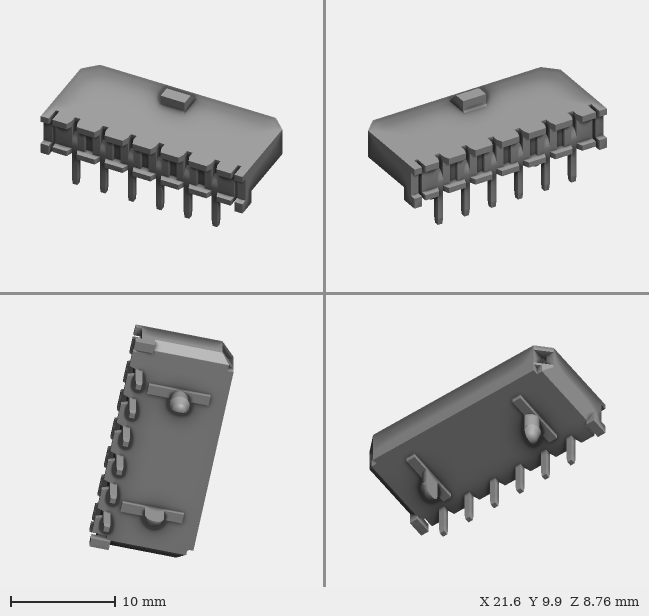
import cadquery as cq
import math


length = 21.65
depth = 9.9
housing_bottom = 0.52
housing_top = 4.37
rear_corner = 1.39

lip_depth = 0.65
lower_lip_top = 1.1
upper_lip_bottom = 3.7

foot_width = 0.87
foot_depth = 1.88
slot_width = 0.4
slot_depth = 1.5
channel_bottom = 2.73

bevel_size = 0.8
bevel_top = 1.43
rear_step = 0.58
corner_pocket_bottom = 1.75

pin_count = 6
pin_span = 15.0
pin_pitch = pin_span / (pin_count - 1)
pin_width = 0.6
pin_depth = 0.67
pin_tip_width = 0.5
pin_tip_depth = 0.52
pin_tip_length = 0.71
pin_bottom = -3.16
bend_start = 1.55
bend_end = 2.73
notch_mouth = 1.08

groove_width = 0.85
groove_depth = 0.41

latch_width = 2.58
latch_height = 1.23
latch_ramp_foot = 0.78
latch_ramp_top = 1.97
latch_back = 3.27
latch_fillet = 0.25

peg_flat_x = 5.75
peg_y = 5.33
peg_radius = 0.93
barb_radius = 1.06
barb_top = -1.75
barb_end_radius = 0.71
barb_end = -2.8
pad_front = 2.16
pad_rear = 8.2

pin_places = [pin_pitch * (i - (pin_count - 1) / 2) for i in range(pin_count)]
groove_places = [x + pin_pitch / 2 for x in pin_places[:-1]]
side_x = length / 2
slot_outer_x = side_x - foot_width
slot_inner_x = slot_outer_x - slot_width


def block(x0, x1, y0, y1, z0, z1):
    """Box between two opposite corners."""
    return cq.Workplane("XY").box(x1 - x0, y1 - y0, z1 - z0, centered=False).translate((x0, y0, z0))


def both_sides(solid):
    """A left-hand feature together with its mirror image on the right."""
    return solid.union(solid.mirror("YZ"))


def housing_shell():
    """Plan outline with chamfered rear corners, and lips standing out from the front wall."""
    shell = block(-side_x, side_x, 0, depth, housing_bottom, housing_top)
    shell = shell.edges("|Z and >Y").chamfer(rear_corner)
    recess = block(-side_x, side_x, 0, lip_depth, lower_lip_top, upper_lip_bottom)
    return shell.cut(recess)


def lower_edge_relief():
    """Bevel under the left side, from the foot to the rear, with a square step at the rear corner."""
    outer = -side_x
    inner = outer + bevel_size
    bevel = (
        cq.Workplane("XZ", origin=(0, depth, 0))
        .moveTo(outer, housing_bottom)
        .lineTo(inner, housing_bottom)
        .lineTo(inner, bevel_top - bevel_size)
        .lineTo(outer, bevel_top)
        .close()
        .extrude(depth - foot_depth)
    )
    step = block(outer, outer + rear_corner, depth - rear_step, depth, housing_bottom, bevel_top)
    return bevel.union(step)


def corner_pocket():
    """Square pocket through the left rear corner, between floor and roof."""
    return block(
        -side_x, -side_x + rear_corner,
        depth - rear_corner, depth,
        corner_pocket_bottom, upper_lip_bottom,
    )


def side_slot():
    """Full-height slot beside the left foot, and the channel from it to the rear."""
    slot = block(-slot_outer_x, -slot_inner_x, 0, slot_depth, housing_bottom, housing_top)
    channel = block(-slot_outer_x, -slot_inner_x, 0, depth, channel_bottom, upper_lip_bottom)
    return slot.union(channel)


def foot():
    """Left foot, reaching down to the board."""
    return block(-side_x, -slot_outer_x, 0, foot_depth, 0, lower_lip_top)


def pin_notch(x):
    """Flared notch through both lips, in front of a pin."""
    return (
        cq.Workplane("XY", origin=(x, 0, housing_bottom))
        .moveTo(-notch_mouth / 2, 0)
        .lineTo(notch_mouth / 2, 0)
        .lineTo(pin_width / 2, lip_depth)
        .lineTo(-pin_width / 2, lip_depth)
        .close()
        .extrude(housing_top - housing_bottom)
    )


def pin_slot(x):
    """Slot above a pin, whose floor is the rounded bend of the pin."""
    rise = bend_end - bend_start
    bend_radius = (rise**2 + pin_depth**2) / (2 * pin_depth)
    middle_angle = math.asin(rise / bend_radius) / 2
    bend_middle = (
        lip_depth + bend_radius * (1 - math.cos(middle_angle)),
        bend_start + bend_radius * math.sin(middle_angle),
    )
    return (
        cq.Workplane("YZ", origin=(x - pin_width / 2, 0, 0))
        .moveTo(lip_depth, bend_start)
        .threePointArc(bend_middle, (lip_depth + pin_depth, bend_end))
        .lineTo(lip_depth + pin_depth, housing_top)
        .lineTo(lip_depth, housing_top)
        .close()
        .extrude(pin_width)
    )


def pin_tail(x):
    """Square tail flush with the front wall, with a tapered tip."""
    tip_top = pin_bottom + pin_tip_length
    shank = block(
        x - pin_width / 2, x + pin_width / 2,
        lip_depth, lip_depth + pin_depth,
        tip_top, lower_lip_top,
    )
    tip = (
        cq.Workplane("XY", origin=(x, lip_depth + pin_depth / 2, tip_top))
        .rect(pin_width, pin_depth)
        .workplane(offset=-pin_tip_length)
        .rect(pin_tip_width, pin_tip_depth)
        .loft(ruled=True)
    )
    return shank.union(tip)


def groove(x):
    """Groove in the front wall, from lip to lip."""
    return block(
        x - groove_width / 2, x + groove_width / 2,
        lip_depth, lip_depth + groove_depth,
        lower_lip_top, upper_lip_bottom,
    )


def latch():
    """Ramped catch on the roof, with a fillet at the foot of its steep side."""
    top = housing_top + latch_height
    back_y = depth - latch_back
    fillet_offset = latch_fillet * (1 - math.sqrt(0.5))
    return (
        cq.Workplane("YZ", origin=(-latch_width / 2, 0, 0))
        .moveTo(depth - latch_ramp_foot, housing_top)
        .lineTo(depth - latch_ramp_top, top)
        .lineTo(back_y, top)
        .lineTo(back_y, housing_top + latch_fillet)
        .threePointArc(
            (back_y - fillet_offset, housing_top + fillet_offset),
            (back_y - latch_fillet, housing_top),
        )
        .close()
        .extrude(latch_width)
    )


def peg():
    """Left half-round peg below its pad, with a tapered barb and a domed end."""
    pad = block(-peg_flat_x - peg_radius, -peg_flat_x, pad_front, pad_rear, 0, housing_bottom)
    dome_height = barb_end - pin_bottom
    dome_radius = (barb_end_radius**2 + dome_height**2) / (2 * dome_height)
    middle_angle = math.asin(barb_end_radius / dome_radius) / 2
    dome_middle = (
        dome_radius * math.sin(middle_angle),
        pin_bottom + dome_radius * (1 - math.cos(middle_angle)),
    )
    round_peg = (
        cq.Workplane("XZ")
        .moveTo(0, 0)
        .lineTo(peg_radius, 0)
        .lineTo(peg_radius, barb_top)
        .lineTo(barb_radius, barb_top)
        .lineTo(barb_end_radius, barb_end)
        .threePointArc(dome_middle, (0, pin_bottom))
        .close()
        .revolve(360, (0, 0), (0, 1))
    )
    kept_half = block(-barb_radius, 0, -peg_radius, peg_radius, pin_bottom, 0)
    return pad.union(round_peg.intersect(kept_half).translate((-peg_flat_x, peg_y, 0)))


result = housing_shell().cut(both_sides(lower_edge_relief())).cut(both_sides(corner_pocket()))
result = result.union(both_sides(foot())).cut(both_sides(side_slot()))
for groove_x in groove_places:
    result = result.cut(groove(groove_x))
for pin_x in pin_places:
    result = result.cut(pin_notch(pin_x)).cut(pin_slot(pin_x)).union(pin_tail(pin_x))
result = result.union(latch()).union(both_sides(peg()))